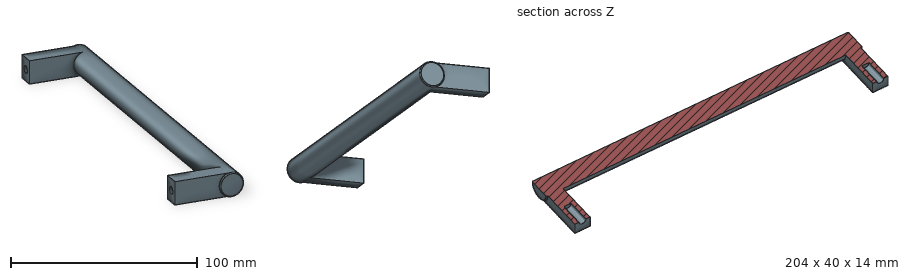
import cadquery as cq

bar_length = 204.0
bar_diameter = 14.0
bar_edge_chamfer = 0.6
overall_depth = 40.0
leg_width = 10.0
leg_height = 13.5
leg_end_inset = 1.0
hole_diameter = 4.3
hole_depth = 14.3

bar_radius = bar_diameter / 2
leg_foot_y = bar_radius - overall_depth
leg_center_x = bar_length / 2 - leg_end_inset - leg_width / 2


def make_bar():
    """Round grip along X, centred on the origin."""
    bar = cq.Workplane("YZ", origin=(-bar_length / 2, 0, 0)).circle(bar_radius).extrude(bar_length)
    return bar.faces("<X or >X").chamfer(bar_edge_chamfer)


def make_leg(center_x):
    """Rectangular leg from the bar axis to the mounting plane."""
    return cq.Workplane("XY").box(
        leg_width, -leg_foot_y, leg_height
    ).translate((center_x, leg_foot_y / 2, 0))


def make_screw_hole(center_x):
    """Blind hole going up into the leg from its foot."""
    return cq.Workplane("XZ", origin=(center_x, leg_foot_y, 0)).circle(hole_diameter / 2).extrude(-hole_depth)


result = make_bar()
for side in (-1, 1):
    result = result.union(make_leg(side * leg_center_x))
    result = result.cut(make_screw_hole(side * leg_center_x))